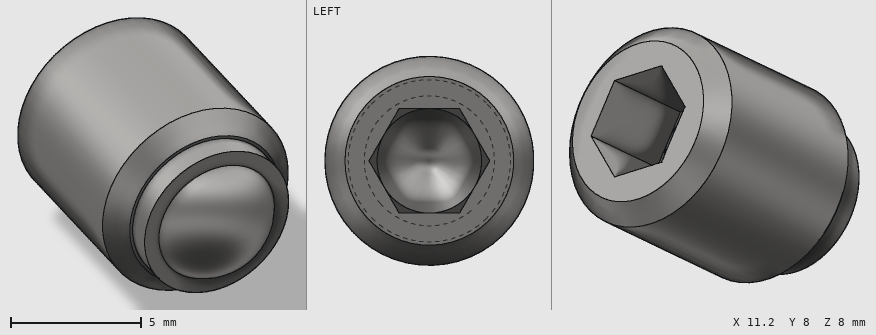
import cadquery as cq
import math

total_length = 11.2
body_diameter = 8.0
body_length = 8.6
chamfer = 0.77

collar_diameter = 6.2
collar_end = 9.6
dome_radius = 2.73

socket_sides = 6
socket_across_flats = 4.0
socket_depth = socket_across_flats
drill_point_angle = 120.0


def make_body():
    """Cylinder with both end edges chamfered."""
    cylinder = cq.Workplane("YZ").circle(body_diameter / 2).extrude(body_length)
    return cylinder.faces("<X or >X").chamfer(chamfer)


def make_tip():
    """Plain collar followed by a spherical dome that ends the part."""
    dome_centre = total_length - dome_radius
    collar = (
        cq.Workplane("YZ")
        .workplane(offset=body_length)
        .circle(collar_diameter / 2)
        .extrude(collar_end - body_length)
    )
    dome_base_radius = math.sqrt(dome_radius**2 - (collar_end - dome_centre) ** 2)
    half_angle = math.asin(dome_base_radius / dome_radius) / 2
    arc_middle = (dome_centre + dome_radius * math.cos(half_angle), dome_radius * math.sin(half_angle))
    dome = (
        cq.Workplane("XY")
        .moveTo(collar_end, 0)
        .lineTo(collar_end, dome_base_radius)
        .threePointArc(arc_middle, (total_length, 0))
        .close()
        .revolve(360, (0, 0, 0), (1, 0, 0))
    )
    return collar.union(dome)


def make_socket():
    """Hexagon with flats facing +Z and -Z, plus the cone left by the drill."""
    across_corners = socket_across_flats / math.cos(math.pi / socket_sides)
    cone_radius = socket_across_flats / 2
    cone_height = cone_radius / math.tan(math.radians(drill_point_angle / 2))
    hexagon = cq.Workplane("YZ").polygon(socket_sides, across_corners).extrude(socket_depth)
    cone = cq.Workplane(
        cq.Solid.makeCone(
            cone_radius, 0, cone_height, pnt=cq.Vector(socket_depth, 0, 0), dir=cq.Vector(1, 0, 0)
        )
    )
    return hexagon.union(cone)


result = make_body().union(make_tip()).cut(make_socket())